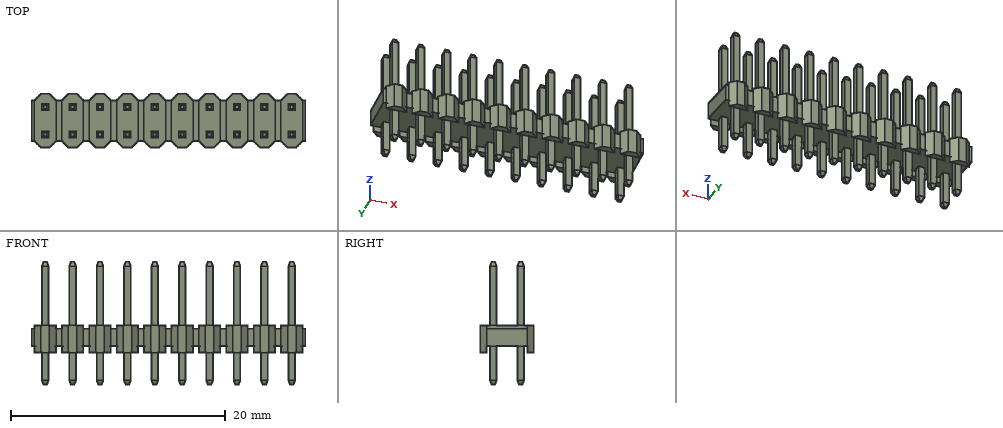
import cadquery as cq


positions = 10
rows = 2
pitch = 2.55

housing_length = positions * pitch
housing_depth = 5.0
housing_height = 2.55
block_width = 2.0
block_chamfer = 0.6
web_top_step = 0.3
foot_height = 0.6

pin_width = 0.64
pin_above_housing = 5.9
pin_below_housing = 2.97
tip_length = 0.4
tip_width = 0.3

web_depth = housing_depth - 2 * block_chamfer
web_height = housing_height - foot_height - web_top_step

pin_bottom = -pin_below_housing
pin_top = housing_height + pin_above_housing
shank_bottom = pin_bottom + tip_length
shank_top = pin_top - tip_length


def centred_steps(count):
    """Places of `count` items one pitch apart, centred on zero."""
    return [(i - (count - 1) / 2) * pitch for i in range(count)]


block_centres = [(x, 0) for x in centred_steps(positions)]
pin_centres = [(x, y) for x in centred_steps(positions) for y in centred_steps(rows)]


def make_block():
    """One octagonal housing block around a pair of pins."""
    return (
        cq.Workplane("XY")
        .box(block_width, housing_depth, housing_height, centered=(True, True, False))
        .edges("|Z")
        .chamfer(block_chamfer)
    )


def make_web():
    """Bar joining the blocks, set below their tops."""
    return (
        cq.Workplane("XY")
        .workplane(offset=foot_height)
        .box(housing_length, web_depth, web_height, centered=(True, True, False))
    )


def make_underside_channel():
    """Lengthwise channel that leaves a foot at both ends of each block."""
    return cq.Workplane("XY").box(
        housing_length, web_depth, foot_height, centered=(True, True, False)
    )


def make_tip(shank_end, direction):
    """Tapered square tip growing from a shank end, up (1) or down (-1)."""
    return (
        cq.Workplane("XY")
        .workplane(offset=shank_end)
        .rect(pin_width, pin_width)
        .workplane(offset=direction * tip_length)
        .rect(tip_width, tip_width)
        .loft(ruled=True)
    )


def make_pin():
    """Square pin with a tapered tip at both ends."""
    shank = (
        cq.Workplane("XY")
        .workplane(offset=shank_bottom)
        .rect(pin_width, pin_width)
        .extrude(shank_top - shank_bottom)
    )
    return shank.union(make_tip(shank_top, 1)).union(make_tip(shank_bottom, -1))


block = make_block()
pin = make_pin()

housing = make_web()
for x, y in block_centres:
    housing = housing.union(block.translate((x, y, 0)))
housing = housing.cut(make_underside_channel())

result = housing
for x, y in pin_centres:
    result = result.union(pin.translate((x, y, 0)))